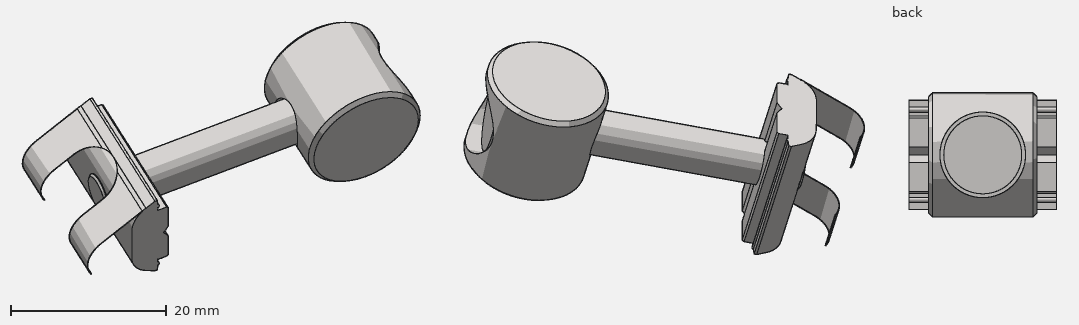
import cadquery as cq
import math


BARREL_DIAMETER = 16.0
BARREL_LENGTH = 13.95
BARREL_CHAMFER = 0.55
COUNTERBORE_DIAMETER = 11.0
CLEARANCE_DIAMETER = 6.5

SHANK_DIAMETER = 6.0
HEAD_DIAMETER = 10.0
HEAD_HEIGHT = 6.0
SCREW_TIP_DIAMETER = 5.5
SCREW_TIP_Y = -35.05
SCREW_TIP_CHAMFER = 0.3

NUT_WIDTH = 19.0
NUT_BACK_Y = -29.5
NUT_FRONT_Y = -34.7
NECK_HALF_HEIGHT = 4.95
NECK_CHAMFER = 0.25
NUT_HALF_HEIGHT = 7.0
SHOULDER_Y = -30.95
RIDGE_HEIGHT = 0.2
RIDGE_INNER_Z = 5.45
RIDGE_OUTER_Z = 6.15
LIP_TIP_Y = -31.05
FLANK_ANGLE = math.radians(30)
FLANK_END_Z = 6.3
BEND_RADIUS = 4.0
NOTCH_HALF_HEIGHT = 1.0
NOTCH_DEPTH = 0.65

SPRING_THICKNESS = 0.1
SPRING_RISE = 0.05
SPRING_FRONT_Y = -41.05
SPRING_SLOT_WIDTH = 8.35

FLANK_END_Y = NUT_FRONT_Y + BEND_RADIUS * (1 - math.sin(FLANK_ANGLE))


def polar(center, radius, angle):
    """Point at an angle measured from -Y towards +Z."""
    return center[0] - radius * math.cos(angle), center[1] + radius * math.sin(angle)


def bend_center(y, z):
    """Centre of a bend tangent to the flank direction at the given point."""
    return y + BEND_RADIUS * math.sin(FLANK_ANGLE), z - BEND_RADIUS * math.cos(FLANK_ANGLE)


def cylinder_y(diameter, y_start, y_end):
    return cq.Workplane("XZ", origin=(0, y_start, 0)).circle(diameter / 2).extrude(y_start - y_end)


def extrude_across(profile, width):
    """Extrude a closed YZ profile symmetrically along X."""
    return profile.close().extrude(width / 2, both=True)


def make_barrel():
    radius = BARREL_DIAMETER / 2
    barrel = cq.Workplane("YZ").circle(radius).extrude(BARREL_LENGTH / 2, both=True)
    barrel = barrel.edges().chamfer(BARREL_CHAMFER)
    barrel = barrel.cut(cylinder_y(COUNTERBORE_DIAMETER, radius, 0))
    return barrel.cut(cylinder_y(CLEARANCE_DIAMETER, 0, -radius))


def make_screw():
    head = cylinder_y(HEAD_DIAMETER, HEAD_HEIGHT, 0)
    shank = cylinder_y(SHANK_DIAMETER, 0, SHOULDER_Y)
    tip = cylinder_y(SCREW_TIP_DIAMETER, SHOULDER_Y, SCREW_TIP_Y)
    tip = tip.faces("<Y").chamfer(SCREW_TIP_CHAMFER)
    return head.union(shank).union(tip)


def make_nut():
    bend = bend_center(FLANK_END_Y, FLANK_END_Z)
    bend_middle = polar(bend, BEND_RADIUS, (math.pi / 2 - FLANK_ANGLE) / 2)
    lip_front_y = FLANK_END_Y + (NUT_HALF_HEIGHT - FLANK_END_Z) / math.tan(FLANK_ANGLE)
    upper_half = (
        cq.Workplane("YZ")
        .moveTo(NUT_BACK_Y - NOTCH_DEPTH, 0)
        .lineTo(NUT_BACK_Y, NOTCH_HALF_HEIGHT)
        .lineTo(NUT_BACK_Y, NECK_HALF_HEIGHT - NECK_CHAMFER)
        .lineTo(NUT_BACK_Y - NECK_CHAMFER, NECK_HALF_HEIGHT)
        .lineTo(SHOULDER_Y, NECK_HALF_HEIGHT)
        .lineTo(SHOULDER_Y, RIDGE_INNER_Z)
        .threePointArc(
            (SHOULDER_Y + RIDGE_HEIGHT, (RIDGE_INNER_Z + RIDGE_OUTER_Z) / 2),
            (SHOULDER_Y, RIDGE_OUTER_Z),
        )
        .lineTo(LIP_TIP_Y, NUT_HALF_HEIGHT)
        .lineTo(lip_front_y, NUT_HALF_HEIGHT)
        .lineTo(FLANK_END_Y, FLANK_END_Z)
        .threePointArc(bend_middle, (NUT_FRONT_Y, bend[1]))
        .lineTo(NUT_FRONT_Y, 0)
    )
    upper = extrude_across(upper_half, NUT_WIDTH)
    return upper.union(upper.mirror("XY"))


def below_flank(depth):
    """Point at a depth square below the end of the flank."""
    return FLANK_END_Y + depth * math.sin(FLANK_ANGLE), FLANK_END_Z - depth * math.cos(FLANK_ANGLE)


def make_spring():
    root = below_flank(-SPRING_RISE)
    inner_root = below_flank(SPRING_THICKNESS - SPRING_RISE)
    bend_start_y = SPRING_FRONT_Y + BEND_RADIUS * (1 - math.sin(FLANK_ANGLE))
    bend_start = bend_start_y, root[1] - (root[0] - bend_start_y) * math.tan(FLANK_ANGLE)
    bend = bend_center(*bend_start)
    start_angle = math.pi / 2 - FLANK_ANGLE
    end_angle = start_angle - math.pi / 2
    middle_angle = (start_angle + end_angle) / 2
    inner_radius = BEND_RADIUS - SPRING_THICKNESS
    profile = (
        cq.Workplane("YZ")
        .moveTo(*root)
        .lineTo(*bend_start)
        .threePointArc(polar(bend, BEND_RADIUS, middle_angle), polar(bend, BEND_RADIUS, end_angle))
        .lineTo(*polar(bend, inner_radius, end_angle))
        .threePointArc(polar(bend, inner_radius, middle_angle), polar(bend, inner_radius, start_angle))
        .lineTo(*inner_root)
    )
    return extrude_across(profile, NUT_WIDTH).cut(make_spring_slot())


def make_spring_slot():
    """Round-ended slot square to the flank, starting at the root and open at the free end."""
    radius = SPRING_SLOT_WIDTH / 2
    reach = 2 * NUT_WIDTH
    flank = cq.Plane(
        origin=(0, FLANK_END_Y, FLANK_END_Z),
        xDir=(1, 0, 0),
        normal=(0, -math.sin(FLANK_ANGLE), math.cos(FLANK_ANGLE)),
    )
    return (
        cq.Workplane(flank)
        .moveTo(-radius, -radius)
        .threePointArc((0, 0), (radius, -radius))
        .lineTo(radius, -reach)
        .lineTo(-radius, -reach)
        .close()
        .extrude(reach, both=True)
    )


result = make_barrel().union(make_screw()).union(make_nut()).union(make_spring())